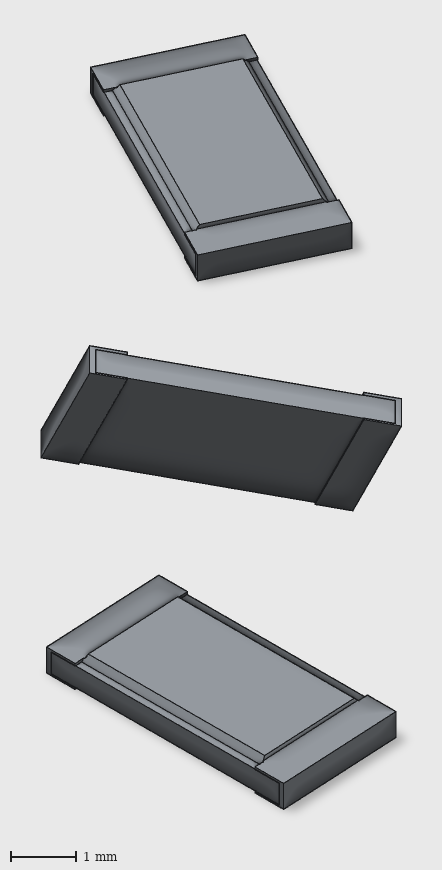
import cadquery as cq

length = 5.0
width = 2.5
height = 0.56

terminal_length = 0.605
terminal_top = 0.5
terminal_end_thickness = 0.1

ceramic_side_inset = 0.01
ceramic_bottom = 0.03
ceramic_top = 0.45

coat_foot_side_inset = 0.145
coat_flank_end_inset = 0.62
coat_top_end_inset = 0.64


def box(x_start, x_end, box_width, z_bottom, z_top):
    """Box between two X positions and two heights, centred on Y = 0."""
    return (
        cq.Workplane("XY")
        .box(x_end - x_start, box_width, z_top - z_bottom, centered=(False, True, False))
        .translate((x_start, 0, z_bottom))
    )


def make_ceramic(ceramic_width):
    half_length = length / 2 - terminal_end_thickness
    return box(-half_length, half_length, ceramic_width, ceramic_bottom, ceramic_top)


def make_terminal():
    """C-shaped terminal at the -X end, slotted across its full width for the ceramic."""
    block = box(-length / 2, -length / 2 + terminal_length, width, 0, terminal_top)
    return block.cut(make_ceramic(width))


def make_coat():
    """Coat with 45 degree side flanks and steeper end flanks above a ledge level with the terminals."""
    foot_half_width = width / 2 - coat_foot_side_inset
    top_half_width = foot_half_width - (height - ceramic_top)
    foot_half_length = length / 2 - terminal_length
    flank_half_length = length / 2 - coat_flank_end_inset
    top_half_length = length / 2 - coat_top_end_inset

    cross_section = (
        cq.Workplane("YZ")
        .polyline([
            (-foot_half_width, ceramic_top),
            (foot_half_width, ceramic_top),
            (top_half_width, height),
            (-top_half_width, height),
        ])
        .close()
        .extrude(foot_half_length, both=True)
    )
    long_section = (
        cq.Workplane("XZ")
        .polyline([
            (-foot_half_length, ceramic_top),
            (foot_half_length, ceramic_top),
            (foot_half_length, terminal_top),
            (flank_half_length, terminal_top),
            (top_half_length, height),
            (-top_half_length, height),
            (-flank_half_length, terminal_top),
            (-foot_half_length, terminal_top),
        ])
        .close()
        .extrude(foot_half_width, both=True)
    )
    return cross_section.intersect(long_section)


terminal = make_terminal()
result = (
    make_ceramic(width - 2 * ceramic_side_inset)
    .union(terminal)
    .union(terminal.mirror("YZ"))
    .union(make_coat())
    .clean()
)